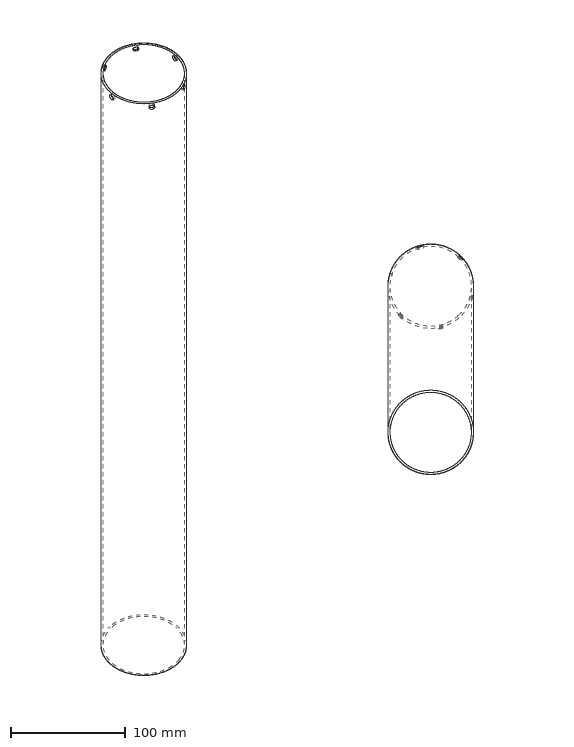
import cadquery as cq

length = 705.0
outer_diameter = 75.0
wall = 2.0
outer_radius = outer_diameter / 2

hole_count = 6
hole_diameter = 5.0
hole_drop = 5.0
hole_height = length - hole_drop


def make_tube():
    """Plain thin-walled tube standing on the XY plane."""
    return cq.Workplane("XY").circle(outer_radius).circle(outer_radius - wall).extrude(length)


def radial_hole(angle):
    """Cutter from the tube axis out through one side of the wall."""
    cutter = (
        cq.Workplane("YZ")
        .center(0, hole_height)
        .circle(hole_diameter / 2)
        .extrude(outer_diameter)
    )
    return cutter.rotate((0, 0, 0), (0, 0, 1), angle)


result = make_tube()
for index in range(hole_count):
    result = result.cut(radial_hole(index * 360 / hole_count))